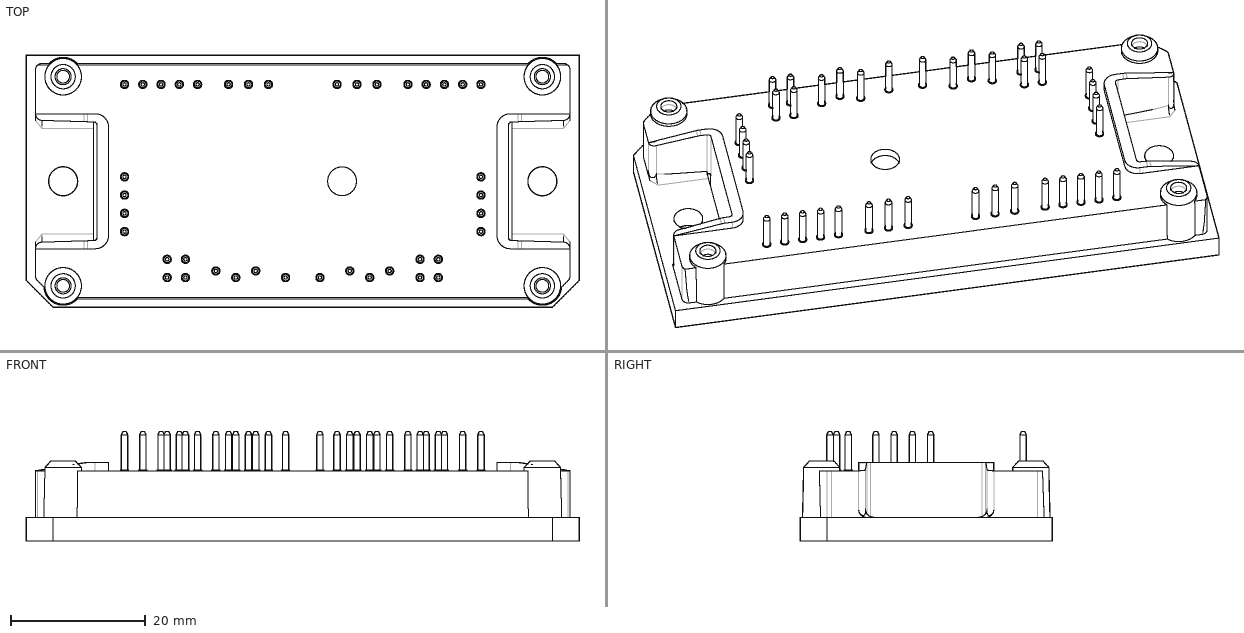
import cadquery as cq
import math

PLATE_LENGTH = 82.0
PLATE_WIDTH = 37.4
PLATE_HEIGHT = 3.5
PLATE_CORNER = 4.0
HALF_LENGTH = PLATE_LENGTH / 2
HALF_WIDTH = PLATE_WIDTH / 2
MOUNT_HOLE_DIAMETER = 4.3
MOUNT_HOLE_X = 35.5

HOUSING_END_MARGIN = 1.4
HOUSING_SIDE_MARGIN = 1.2
HOUSING_TOP = 10.4
HOUSING_DRAFT = 2.0
HOUSING_CORNER = 3.0
HOUSING_EDGE_RADIUS = 1.0
HOUSING_HALF_LENGTH = HALF_LENGTH - HOUSING_END_MARGIN
HOUSING_HALF_WIDTH = HALF_WIDTH - HOUSING_SIDE_MARGIN
BLIND_HOLE_X = 5.8
BLIND_HOLE_DIAMETER = 4.3
BLIND_HOLE_DEPTH = 1.3

BAY_FLOOR_X = 31.0
BAY_BACK_X = 30.5
BAY_HALF_WIDTH = 8.8
BAY_MOUTH_HALF_WIDTH = 9.0
BAY_MOUTH_RADIUS = 1.0
BAY_CORNER_RADIUS = 0.5
COVE_RADIUS = 1.2

RIM_TOP = 11.65
RIM_BACK_X = 28.8
RIM_HALF_WIDTH = 10.0
RIM_CORNER_RADIUS = 2.0
RIM_BEND_RADIUS = 3.3
RIM_SLOPE_START_X = 32.15
RIM_SLOPE_END_X = 39.6

BOSS_X = 35.5
BOSS_Y = 15.5
BOSS_BASE_DIAMETER = 5.7
BOSS_DIAMETER = 5.4
BOSS_TOP_DIAMETER = 3.6
BOSS_SHOULDER = 10.9
BOSS_TOP = 11.9
BOSS_HOLE_DIAMETER = 2.4
BOSS_HOLE_FLOOR_DIAMETER = 1.9
BOSS_HOLE_STRAIGHT_DEPTH = 0.8
BOSS_HOLE_DEPTH = 1.6

PIN_DIAMETER = 1.0
PIN_TIP_DIAMETER = 0.5
PIN_TIP_HEIGHT = 0.5
PIN_TOP = 16.2
PIN_FOOT_DIAMETER = 1.2
PIN_FOOT_HEIGHT = 0.1
PIN_PITCH = 2.7
PIN_WIDE_PITCH = 2.95
REAR_PIN_Y = 14.35
REAR_INNER_PIN_X = 5.1
EDGE_PIN_X = 26.4
EDGE_PIN_REAR_Y = 0.65
FRONT_PIN_Y = -14.3
FRONT_INNER_PIN_X = 2.55
STAGGERED_PIN_X = 7.0
STAGGERED_PIN_Y = -13.3
PIN_CLUSTER_X = 17.4

SIDES = (-1, 1)


def frustum(bottom_diameter, top_diameter, bottom, top):
    """Upright cone section centred on the Z axis."""
    profile = [(0, bottom), (bottom_diameter / 2, bottom), (top_diameter / 2, top), (0, top)]
    return cq.Workplane("XZ").polyline(profile).close().revolve(360, (0, 0, 0), (0, 1, 0))


def clipped_outline(half_length, half_width, corner):
    """Rectangle with its two front corners cut at 45 degrees."""
    return cq.Workplane("XY").polyline([
        (-half_length, half_width),
        (-half_length, corner - half_width),
        (corner - half_length, -half_width),
        (half_length - corner, -half_width),
        (half_length, corner - half_width),
        (half_length, half_width),
    ]).close()


def make_plate():
    plate = clipped_outline(HALF_LENGTH, HALF_WIDTH, PLATE_CORNER).extrude(PLATE_HEIGHT)
    gap_length = BAY_FLOOR_X - BAY_BACK_X
    for side in SIDES:
        hole = cq.Workplane("XY").center(side * MOUNT_HOLE_X, 0)
        plate = plate.cut(hole.circle(MOUNT_HOLE_DIAMETER / 2).extrude(PLATE_HEIGHT))
        gap = cq.Workplane("XY").center(side * (BAY_BACK_X + gap_length / 2), 0)
        plate = plate.cut(gap.rect(gap_length, 2 * BAY_HALF_WIDTH).extrude(PLATE_HEIGHT))
    return plate


def make_bay():
    """Cutter for the +X bay, widening slightly towards its rounded mouth."""
    mouth_x = HOUSING_HALF_LENGTH
    inner_x = mouth_x - BAY_MOUTH_RADIUS
    lip = BAY_MOUTH_HALF_WIDTH + BAY_MOUTH_RADIUS
    arc_shift = BAY_MOUTH_RADIUS * math.sqrt(0.5)
    bay = (
        cq.Workplane("XY").workplane(offset=PLATE_HEIGHT)
        .moveTo(BAY_BACK_X, -BAY_HALF_WIDTH)
        .lineTo(inner_x, -BAY_MOUTH_HALF_WIDTH)
        .threePointArc((inner_x + arc_shift, arc_shift - lip), (mouth_x, -lip))
        .lineTo(HALF_LENGTH, -lip)
        .lineTo(HALF_LENGTH, lip)
        .lineTo(mouth_x, lip)
        .threePointArc((inner_x + arc_shift, lip - arc_shift), (inner_x, BAY_MOUTH_HALF_WIDTH))
        .lineTo(BAY_BACK_X, BAY_HALF_WIDTH)
        .close()
        .extrude(RIM_TOP - PLATE_HEIGHT)
    )
    return bay.edges("|Z and <X").fillet(BAY_CORNER_RADIUS)


def make_rim():
    """Rim block of the +X bay, level at the back and sloping down to the housing end."""
    block = (
        cq.Workplane("XZ")
        .polyline([
            (RIM_BACK_X, HOUSING_TOP),
            (RIM_BACK_X, RIM_TOP),
            (RIM_SLOPE_START_X, RIM_TOP),
            (RIM_SLOPE_END_X, HOUSING_TOP),
        ])
        .close()
        .extrude(RIM_HALF_WIDTH, both=True)
    )
    bend = cq.selectors.NearestToPointSelector((RIM_SLOPE_START_X, 0, RIM_TOP))
    block = block.edges(bend).fillet(RIM_BEND_RADIUS)
    return block.edges("|Z and <X").fillet(RIM_CORNER_RADIUS)


def cove_section(x, foot_y, wall_y):
    """Cross-section at x of the hollow fillet, backed by the housing behind the wall."""
    back_y = BAY_MOUTH_HALF_WIDTH + 2 * BAY_MOUTH_RADIUS
    crown = PLATE_HEIGHT + COVE_RADIUS
    hollow = 1 - math.sqrt(0.5)
    middle = (wall_y - hollow * (wall_y - foot_y), PLATE_HEIGHT + hollow * COVE_RADIUS)
    outline = (
        cq.Workplane("YZ").workplane(offset=x)
        .moveTo(back_y, PLATE_HEIGHT)
        .lineTo(foot_y, PLATE_HEIGHT)
        .threePointArc(middle, (wall_y, crown))
        .lineTo(back_y, crown)
        .close()
    )
    return outline.wires().val()


def make_cove():
    """Hollow fillet between the plate and the +Y wall of the +X bay, swept back at the mouth."""
    straight_end_x = HOUSING_HALF_LENGTH - BAY_MOUTH_RADIUS
    foot = BAY_MOUTH_HALF_WIDTH - COVE_RADIUS
    start = cove_section(BAY_FLOOR_X, foot, BAY_MOUTH_HALF_WIDTH)
    straight_end = cove_section(straight_end_x, foot, BAY_MOUTH_HALF_WIDTH)
    lip = BAY_MOUTH_HALF_WIDTH + BAY_MOUTH_RADIUS
    mouth = cove_section(HOUSING_HALF_LENGTH, BAY_MOUTH_HALF_WIDTH, lip)
    straight = cq.Workplane(cq.Solid.makeLoft([start, straight_end], True))
    return straight.union(cq.Workplane(cq.Solid.makeLoft([straight_end, mouth], True)))


def make_housing():
    height = HOUSING_TOP - PLATE_HEIGHT
    narrowing = height * math.tan(math.radians(HOUSING_DRAFT))
    top_half_width = HOUSING_HALF_WIDTH - narrowing
    housing = clipped_outline(HOUSING_HALF_LENGTH, HOUSING_HALF_WIDTH, HOUSING_CORNER).extrude(height)
    housing = housing.translate((0, 0, PLATE_HEIGHT)).edges("|Z").fillet(HOUSING_EDGE_RADIUS)
    drafted_section = (
        cq.Workplane("YZ").workplane(offset=-HALF_LENGTH)
        .polyline([
            (-HOUSING_HALF_WIDTH, PLATE_HEIGHT),
            (HOUSING_HALF_WIDTH, PLATE_HEIGHT),
            (top_half_width, HOUSING_TOP),
            (-top_half_width, HOUSING_TOP),
        ])
        .close()
        .extrude(PLATE_LENGTH)
    )
    housing = housing.intersect(drafted_section)

    rim, bay, cove = make_rim(), make_bay(), make_cove()
    coves = cove.union(cove.mirror("XZ"))
    for angle in (0, 180):
        axis = ((0, 0, 0), (0, 0, 1), angle)
        housing = housing.union(rim.rotate(*axis))
        housing = housing.cut(bay.rotate(*axis))
        housing = housing.union(coves.rotate(*axis))
    hole = cq.Workplane("XY").workplane(offset=HOUSING_TOP - BLIND_HOLE_DEPTH).center(BLIND_HOLE_X, 0)
    return housing.cut(hole.circle(BLIND_HOLE_DIAMETER / 2).extrude(BLIND_HOLE_DEPTH))


def add_bosses(body):
    post = frustum(BOSS_BASE_DIAMETER, BOSS_DIAMETER, PLATE_HEIGHT, BOSS_SHOULDER)
    cap = frustum(BOSS_DIAMETER, BOSS_TOP_DIAMETER, BOSS_SHOULDER, BOSS_TOP)
    taper_start = BOSS_TOP - BOSS_HOLE_STRAIGHT_DEPTH
    bore = frustum(BOSS_HOLE_DIAMETER, BOSS_HOLE_DIAMETER, taper_start, BOSS_TOP)
    taper = frustum(BOSS_HOLE_FLOOR_DIAMETER, BOSS_HOLE_DIAMETER, BOSS_TOP - BOSS_HOLE_DEPTH, taper_start)
    hole = bore.union(taper)
    boss = post.union(cap)
    for side_x in SIDES:
        for side_y in SIDES:
            place = (side_x * BOSS_X, side_y * BOSS_Y, 0)
            body = body.union(boss.translate(place)).cut(hole.translate(place))
    return body


def pin_places():
    """Pin centres for the +X half; the -X half mirrors them."""
    places = []
    for i in range(3):
        places.append((REAR_INNER_PIN_X + i * PIN_WIDE_PITCH, REAR_PIN_Y))
    for i in range(5):
        places.append((EDGE_PIN_X - i * PIN_PITCH, REAR_PIN_Y))
    for i in range(4):
        places.append((EDGE_PIN_X, EDGE_PIN_REAR_Y - i * PIN_PITCH))
    for i in range(2):
        for j in range(2):
            places.append((PIN_CLUSTER_X + i * PIN_PITCH, FRONT_PIN_Y + j * PIN_PITCH))
    places.append((FRONT_INNER_PIN_X, FRONT_PIN_Y))
    for i, y in enumerate((STAGGERED_PIN_Y, FRONT_PIN_Y, STAGGERED_PIN_Y)):
        places.append((STAGGERED_PIN_X + i * PIN_WIDE_PITCH, y))
    return places


def add_pins(body):
    shoulder = PIN_TOP - PIN_TIP_HEIGHT
    foot = frustum(PIN_FOOT_DIAMETER, PIN_FOOT_DIAMETER, HOUSING_TOP, HOUSING_TOP + PIN_FOOT_HEIGHT)
    shaft = frustum(PIN_DIAMETER, PIN_DIAMETER, HOUSING_TOP, shoulder)
    tip = frustum(PIN_DIAMETER, PIN_TIP_DIAMETER, shoulder, PIN_TOP)
    pin = foot.union(shaft).union(tip)
    for x, y in pin_places():
        for side in SIDES:
            body = body.union(pin.translate((side * x, y, 0)))
    return body


result = add_pins(add_bosses(make_plate().union(make_housing())))